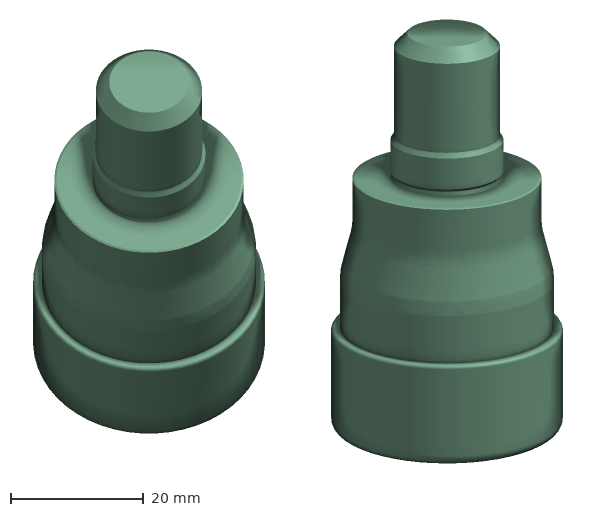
import cadquery as cq

total_height = 63.0
shoulder_height = 40.0
cap_height = 16.0

cap_radius = 17.45
cap_bottom_round = 1.5
cap_top_round = 0.5

seat_radius = 16.5
lower_radius = 16.1
upper_radius = 14.25
blend_bottom = 23.55
blend_top = 33.15
blend_height = 2.25
shoulder_chamfer_width = 0.3
shoulder_chamfer_height = 0.1

stud_radius = 8.0
stud_chamfer = 2.0
collar_radius = 8.5
collar_top = 46.0
collar_bottom = 41.1
collar_lead_in = 0.75
undercut_step = collar_radius - stud_radius

socket_floor = 3.8


def make_cap():
    """Round cup with rounded outer edges and a blind socket."""
    blank = cq.Workplane("XY").circle(cap_radius).extrude(cap_height)
    blank = blank.faces("<Z").edges().fillet(cap_bottom_round)
    blank = blank.faces(">Z").edges().fillet(cap_top_round)
    socket = (
        cq.Workplane("XY")
        .workplane(offset=socket_floor)
        .circle(seat_radius)
        .extrude(cap_height - socket_floor)
    )
    return blank.cut(socket)


def make_plunger():
    """Turned body: seat, lower barrel, taper with tangent blends, shoulder and stud."""
    taper_height = blend_top - blend_bottom
    taper_width = lower_radius - upper_radius
    cone_height = taper_height - 2 * blend_height
    half_tangent = taper_width / (2 * (blend_height + cone_height))
    blend_inset = blend_height * half_tangent
    profile = (
        cq.Workplane("XZ")
        .moveTo(0, socket_floor)
        .lineTo(seat_radius, socket_floor)
        .lineTo(seat_radius, cap_height)
        .lineTo(lower_radius, cap_height)
        .lineTo(lower_radius, blend_bottom)
        .tangentArcPoint((lower_radius - blend_inset, blend_bottom + blend_height), relative=False)
        .lineTo(upper_radius + blend_inset, blend_top - blend_height)
        .tangentArcPoint((upper_radius, blend_top), relative=False)
        .lineTo(upper_radius, shoulder_height - shoulder_chamfer_height)
        .lineTo(upper_radius - shoulder_chamfer_width, shoulder_height)
        .lineTo(collar_radius, shoulder_height)
        .lineTo(stud_radius, shoulder_height + undercut_step)
        .lineTo(stud_radius, collar_bottom - undercut_step)
        .lineTo(collar_radius, collar_bottom)
        .lineTo(collar_radius, collar_top)
        .lineTo(stud_radius, collar_top + collar_lead_in)
        .lineTo(stud_radius, total_height - stud_chamfer)
        .lineTo(stud_radius - stud_chamfer, total_height)
        .lineTo(0, total_height)
        .close()
    )
    return profile.revolve(360, (0, 0, 0), (0, 1, 0))


cap = make_cap()
plunger = make_plunger()

result = cq.Compound.makeCompound([cap.val(), plunger.val()])